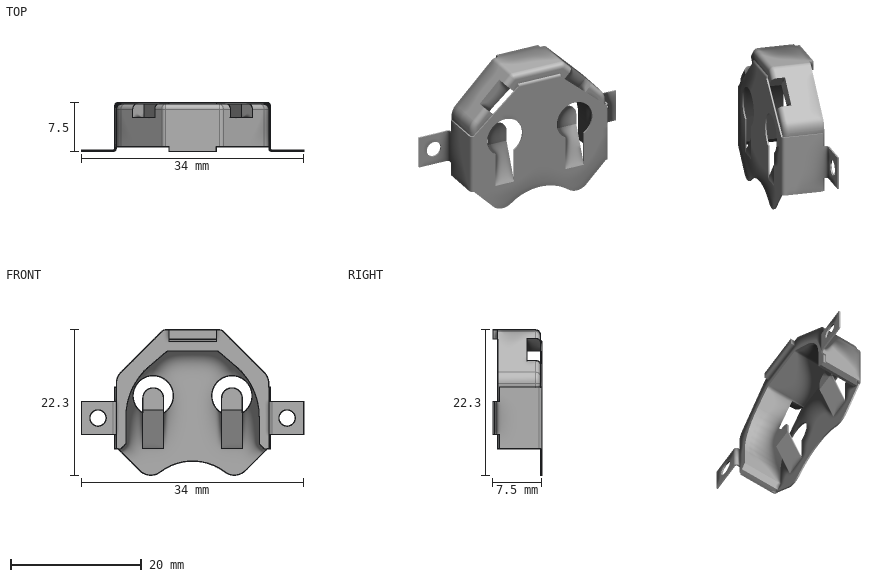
import cadquery as cq
import math


sheet = 0.25
bend_inner = 0.27
bend_outer = bend_inner + sheet
total_width = 34.0
total_depth = 7.5

housing_half_width = 11.65
housing_top = 13.5
housing_front = 0.7
housing_back = total_depth - sheet
leg_bottom = -4.73
top_vertex_x = 4.45
shoulder_z = housing_top - (housing_half_width - top_vertex_x)
top_corner_radius = 0.85
shoulder_radius = 2.45
back_edge_radius = 0.8
cell_radius = 10.2
cell_center_z = 0.15
inner_top = 10.27
inner_top_half_width = 3.85
inner_corner_radius = 0.68
leg_chamfer = 0.78
lug_half_width = 3.65
lug_height = 1.43
notch_depth = 2.07
notch_lower_x = 9.15
notch_upper_x = 5.78

strap_front = 1.02
strap_half_height = -leg_bottom
foot_half_height = 2.55
foot_hole_x = 14.45
foot_hole_radius = 1.22
hook_top = 11.97
plate_hole_x = 6.02
plate_hole_z = 3.4
plate_hole_radius = 3.05
tongue_half_width = 1.6
tongue_root_z = -4.63
tongue_fold_z = 1.25
tongue_top_z = 4.63
tongue_front = 4.75
scoop_top_z = -6.6
scoop_radius = 8.15
lobe_radius = 2.35

strap_outer_x = housing_half_width + sheet
flat_half_width = strap_outer_x - bend_outer
back_bend_y = total_depth - bend_outer
hook_bend_z = hook_top - bend_outer


def front_sketch(y):
    """XZ workplane at depth y, with Z as its local y; a negative extrusion goes towards +Y."""
    return cq.Workplane("XZ", origin=(0, y, 0))


def block(x_range, y_range, z_range):
    """Box given by its limits along each axis."""
    sizes = [high - low for low, high in (x_range, y_range, z_range)]
    lows = (x_range[0], y_range[0], z_range[0])
    return cq.Workplane("XY").box(*sizes, centered=False).translate(lows)


def mirrored(shape):
    """The shape together with its mirror image across X = 0."""
    return shape.union(shape.mirror("YZ"))


def housing_outer():
    """Outer arch with rounded corners and a rounded back edge."""
    outline = [
        (-housing_half_width, leg_bottom),
        (-housing_half_width, shoulder_z),
        (-top_vertex_x, housing_top),
        (top_vertex_x, housing_top),
        (housing_half_width, shoulder_z),
        (housing_half_width, leg_bottom),
    ]
    arch = front_sketch(housing_front).polyline(outline).close().extrude(housing_front - housing_back)
    margin = 0.35
    top_box = cq.selectors.BoxSelector(
        (-total_width, housing_front, housing_top - margin),
        (total_width, housing_back, housing_top + margin),
    )
    shoulder_box = cq.selectors.BoxSelector(
        (-total_width, housing_front, shoulder_z - margin),
        (total_width, housing_back, shoulder_z + margin),
    )
    arch = arch.edges("|Y").edges(top_box).fillet(top_corner_radius)
    arch = arch.edges("|Y").edges(shoulder_box).fillet(shoulder_radius)
    back_outline = arch.faces(">Y").edges("not(<Z)")
    return back_outline.fillet(back_edge_radius)


def cell_opening():
    """Opening for the cell: flat top, slopes tangent to the cell circle, straight sides."""
    rise = inner_top - cell_center_z
    vertex_distance = math.hypot(inner_top_half_width, rise)
    tangent_angle = math.atan2(rise, inner_top_half_width) - math.acos(cell_radius / vertex_distance)
    middle_angle = tangent_angle / 2

    def on_cell(side, angle):
        return side * cell_radius * math.cos(angle), cell_center_z + cell_radius * math.sin(angle)

    opening = (
        front_sketch(housing_front)
        .moveTo(-inner_top_half_width, inner_top)
        .lineTo(inner_top_half_width, inner_top)
        .lineTo(*on_cell(1, tangent_angle))
        .threePointArc(on_cell(1, middle_angle), on_cell(1, 0))
        .lineTo(cell_radius, leg_bottom + leg_chamfer)
        .lineTo(cell_radius + leg_chamfer, leg_bottom)
        .lineTo(-cell_radius - leg_chamfer, leg_bottom)
        .lineTo(-cell_radius, leg_bottom + leg_chamfer)
        .lineTo(*on_cell(-1, 0))
        .threePointArc(on_cell(-1, middle_angle), on_cell(-1, tangent_angle))
        .close()
        .extrude(housing_front - housing_back)
    )
    return opening.edges("|Y").edges(">Z").fillet(inner_corner_radius)


def shoulder_notches():
    """Cuts square to each shoulder, through the wall and open at the back."""
    def shoulder_z_at(x):
        return housing_top - (x - top_vertex_x)

    reach = 2.72
    overshoot = 1.02
    corners = [
        (notch_lower_x, overshoot),
        (notch_lower_x, -reach),
        (notch_upper_x, -reach),
        (notch_upper_x, overshoot),
    ]
    outline = [(x + shift, shoulder_z_at(x) + shift) for x, shift in corners]
    notch = front_sketch(housing_back - notch_depth).polyline(outline).close().extrude(-notch_depth)
    return mirrored(notch)


def front_lug():
    """Lug on the top wall that reaches the mounting plane."""
    return block(
        (-lug_half_width, lug_half_width),
        (0, housing_front),
        (housing_top - lug_height, housing_top),
    )


def quarter_bend(plane, center, length, toward):
    """Quarter tube along the normal of the plane, centred on a bend axis.

    `toward` gives the side, in the plane's own axes, on which the quarter lies.
    """
    start = cq.Workplane(plane, origin=center).workplane(offset=-length / 2)
    ring = start.circle(bend_outer).circle(bend_inner).extrude(length)
    quarter = (
        start.center(toward[0] * bend_outer / 2, toward[1] * bend_outer / 2)
        .rect(bend_outer, bend_outer)
        .extrude(length)
    )
    return ring.intersect(quarter)


def back_plate():
    """Flat plate behind the housing, with its scooped and rounded bottom edge."""
    point_z = leg_bottom - flat_half_width
    outline = [
        (lug_half_width, hook_bend_z),
        (flat_half_width, strap_half_height),
        (flat_half_width, leg_bottom),
        (0, point_z),
        (-flat_half_width, leg_bottom),
        (-flat_half_width, strap_half_height),
        (-lug_half_width, hook_bend_z),
    ]
    plate = front_sketch(housing_back).polyline(outline).close().extrude(-sheet)
    scoop_center_z = scoop_top_z - scoop_radius
    scoop = front_sketch(housing_back).center(0, scoop_center_z).circle(scoop_radius).extrude(-sheet)
    plate = plate.cut(scoop).solids(">Z")
    return plate.edges("|Y").edges("<Z").fillet(lobe_radius)


def tongue_window(x):
    """Round hole and the slot below it from which one tongue is bent."""
    hole = front_sketch(housing_back).center(x, plate_hole_z).circle(plate_hole_radius).extrude(-sheet)
    slot = block(
        (x - tongue_half_width, x + tongue_half_width),
        (housing_back, total_depth),
        (tongue_root_z, plate_hole_z),
    )
    return hole.union(slot)


def tongue(x):
    """Spring tongue: sloped forward from its root, then upright with a round tip."""
    tip_center_z = tongue_top_z - tongue_half_width
    profile = [
        (housing_back, tongue_root_z),
        (total_depth, tongue_root_z),
        (tongue_front + sheet, tongue_fold_z),
        (tongue_front + sheet, tip_center_z),
        (tongue_front, tip_center_z),
        (tongue_front, tongue_fold_z),
    ]
    side_face = cq.Workplane("YZ", origin=(x - tongue_half_width, 0, 0))
    strip = side_face.polyline(profile).close().extrude(2 * tongue_half_width)
    tip = front_sketch(tongue_front).center(x, tip_center_z).circle(tongue_half_width).extrude(-sheet)
    return strip.union(tip)


def side_strap():
    """Right-hand strap, its bend from the back plate, and its foot."""
    back_bend = quarter_bend("XY", (flat_half_width, back_bend_y, 0), 2 * strap_half_height, (1, 1))
    strap = block(
        (housing_half_width, strap_outer_x),
        (strap_front, back_bend_y),
        (-strap_half_height, strap_half_height),
    )
    foot_z = (-foot_half_height, foot_half_height)
    foot_bend_x = housing_half_width + bend_outer
    neck = block((housing_half_width, strap_outer_x), (bend_outer, strap_front), foot_z)
    foot_bend = quarter_bend("XY", (foot_bend_x, bend_outer, 0), 2 * foot_half_height, (-1, -1))
    foot = block((foot_bend_x, total_width / 2), (0, sheet), foot_z)
    hole = front_sketch(0).center(foot_hole_x, 0).circle(foot_hole_radius).extrude(-sheet)
    return back_bend.union(strap).union(neck).union(foot_bend).union(foot.cut(hole))


def hook():
    """Flange bent forward from the top of the plate, through the top wall to its front face."""
    bend = quarter_bend("YZ", (0, back_bend_y, hook_bend_z), 2 * lug_half_width, (1, 1))
    flange = block(
        (-lug_half_width, lug_half_width),
        (housing_front, back_bend_y),
        (hook_top - sheet, hook_top),
    )
    return bend.union(flange)


def build_clip():
    clip = back_plate()
    for x in (-plate_hole_x, plate_hole_x):
        clip = clip.cut(tongue_window(x)).union(tongue(x))
    return clip.union(mirrored(side_strap())).union(hook())


def build_housing():
    body = housing_outer().cut(cell_opening()).cut(shoulder_notches())
    return body.union(front_lug()).cut(hook())


housing = build_housing()
clip = build_clip()
result = cq.Compound.makeCompound([housing.val(), clip.val()])